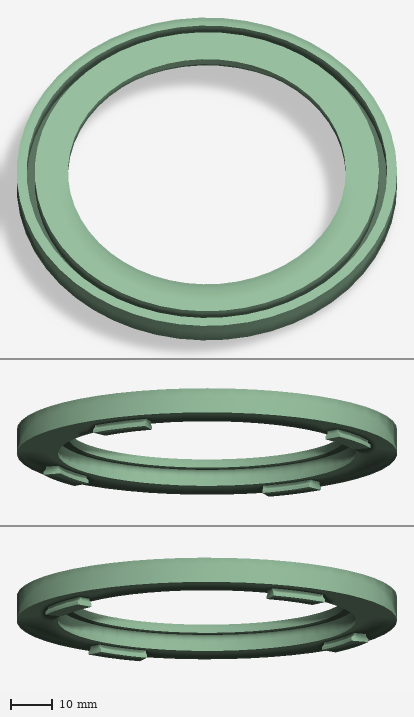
import cadquery as cq

outer_radius = 92.5 / 2
ring_height = 6.0

lip_radius = 67.5 / 2
lip_thickness = 2.0
recess_radius = 72.5 / 2

groove_inner_radius = 83.7 / 2
groove_outer_radius = 87.7 / 2
groove_depth = 4.0

overall_height = 8.0
lug_count = 4
lug_first_angle = 45
lug_span = 20
neck_inner_radius = 38.7
neck_outer_radius = groove_inner_radius
foot_flare = 0.65
foot_height = 0.7
cone_height = 0.65

ring_bottom = overall_height - ring_height
joint_overlap = 0.5


def tube(outer, inner, bottom, height):
    """Concentric tube standing on the height given by bottom."""
    return cq.Workplane("XY").workplane(offset=bottom).circle(outer).circle(inner).extrude(height)


def make_ring():
    """Flat ring with a lipped bore and a groove in its top face."""
    ring = tube(outer_radius, lip_radius, ring_bottom, ring_height)
    recess = tube(recess_radius, lip_radius, ring_bottom, ring_height - lip_thickness)
    groove = tube(
        groove_outer_radius, groove_inner_radius, overall_height - groove_depth, groove_depth
    )
    return ring.cut(recess).cut(groove)


def make_lug(mid_angle):
    """Arc-shaped lug, revolved about Z and centred on mid_angle."""
    foot_inner_radius = neck_inner_radius - foot_flare
    foot_outer_radius = neck_outer_radius + foot_flare
    neck_bottom = foot_height + cone_height
    lug_top = ring_bottom + joint_overlap
    profile = [
        (foot_inner_radius, 0),
        (foot_outer_radius, 0),
        (foot_outer_radius, foot_height),
        (neck_outer_radius, neck_bottom),
        (neck_outer_radius, lug_top),
        (neck_inner_radius, lug_top),
        (neck_inner_radius, neck_bottom),
        (foot_inner_radius, foot_height),
    ]
    lug = cq.Workplane("XZ").polyline(profile).close().revolve(lug_span, (0, 0, 0), (0, 1, 0))
    start_angle = mid_angle - lug_span / 2
    return lug.rotate((0, 0, 0), (0, 0, 1), start_angle)


result = make_ring()
for index in range(lug_count):
    result = result.union(make_lug(lug_first_angle + index * 360 / lug_count))